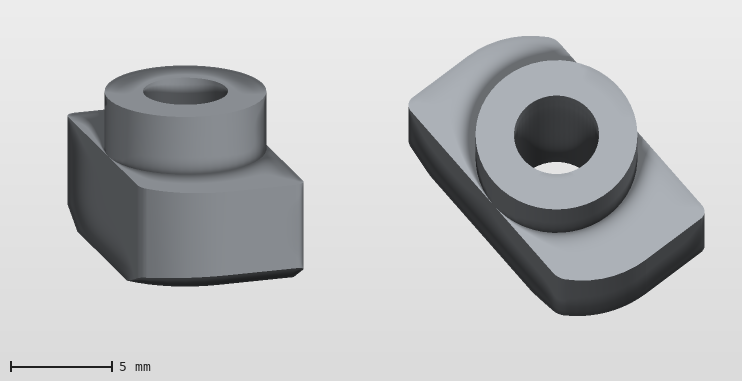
import cadquery as cq
import math

length = 14.0
width = 8.0
base_height = 5.5
boss_height = 3.0
hole_diameter = 4.2
side_radius = 5.0
blend_radius = 1.0
corner_radius = 0.5
bevel_run = 2.0
bevel_angle = 30.0
envelope_margin = 0.7

half_length = length / 2
half_width = width / 2
total_height = base_height + boss_height
bevel_slope = math.tan(math.radians(bevel_angle))

round_center_x = half_length - side_radius
round_end_x = round_center_x + math.sqrt(side_radius**2 - half_width**2)
round_mid_angle = math.asin(half_width / side_radius) / 2
round_mid_x = round_center_x + side_radius * math.cos(round_mid_angle)
round_mid_y = side_radius * math.sin(round_mid_angle)


def round_vertical_edge(body, x, y, radius):
    """Fillet the vertical edge of the base standing at (x, y)."""
    nearest = cq.selectors.NearestToPointSelector((x, y, base_height / 2))
    return body.edges("|Z").edges(nearest).fillet(radius)


def make_base():
    """Block with two opposite large rounds and all corners blended."""
    body = (
        cq.Workplane("XY")
        .moveTo(half_length, 0)
        .lineTo(half_length, half_width)
        .lineTo(-round_end_x, half_width)
        .threePointArc((-round_mid_x, round_mid_y), (-half_length, 0))
        .lineTo(-half_length, -half_width)
        .lineTo(round_end_x, -half_width)
        .threePointArc((round_mid_x, -round_mid_y), (half_length, 0))
        .close()
        .extrude(base_height)
    )
    for sign in (1, -1):
        body = round_vertical_edge(body, sign * half_length, sign * half_width, corner_radius)
        body = round_vertical_edge(body, sign * round_end_x, -sign * half_width, blend_radius)
    return body


def bevel_profile():
    """Half section of the bevel envelope in the XZ plane, from the Z axis outward."""
    reach = half_length + envelope_margin
    return (
        cq.Workplane("XZ")
        .lineTo(half_length - bevel_run, 0)
        .lineTo(reach, (bevel_run + envelope_margin) * bevel_slope)
        .lineTo(reach, base_height)
        .lineTo(0, base_height)
        .close()
    )


def make_bevel_envelope():
    """Solid with a flat bevel below the square corners and a conical one below the rounds."""
    flat_quarter = bevel_profile().extrude(-half_width)
    cone_quarter = bevel_profile().revolve(90, (0, 0), (0, -1))
    half = flat_quarter.union(cone_quarter)
    return half.union(half.rotate((0, 0, 0), (0, 0, 1), 180))


base = make_base().intersect(make_bevel_envelope())
boss = cq.Workplane("XY").workplane(offset=base_height).circle(half_width).extrude(boss_height)
hole = cq.Workplane("XY").circle(hole_diameter / 2).extrude(total_height)

result = base.union(boss).cut(hole)